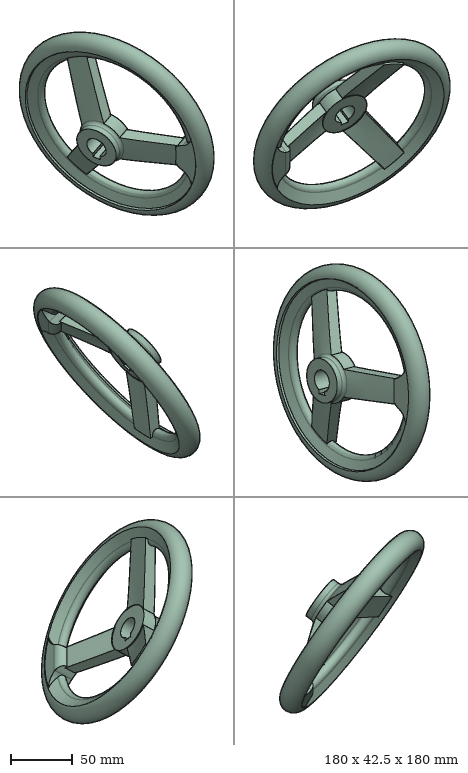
import cadquery as cq
import math


rim_radius = 90.0
rim_width = 20.0
overall_depth = 42.5
rim_round = rim_width / 2
crown_radius = rim_radius - rim_round
lip_draft = 0.5
lip_depth = 2.0
cone_inner_radius = 71.6
rim_bore_radius = 68.2
cone_inner_y = -4.3

hub_radius = 20.5
collar_radius = 37.0 / 2
hub_front_y = rim_round - overall_depth
collar_length = 5.2
flare_length = 3.5
flare_back_y = hub_front_y + collar_length + flare_length
hub_back_y = -11.5
bore_radius = 9.0
keyway_width = 6.7
keyway_depth = 11.7

spoke_count = 3
spoke_root_radius = 14.4
spoke_root_half_width = 11.9
spoke_tip_half_width = 10.6
spoke_tip_radius = 72.0
spoke_thickness = 11.7
spoke_tip_thickness = 10.3
spoke_face_radius = 55.5

pad_inner_corner = (60.1, 9.9)
pad_corner_mid = (63.0, 11.9)
pad_neck = (66.6, 13.9)
pad_flare_mid = (72.0, 18.7)
pad_flare_half_width = 27.0
pad_front_y = lip_depth - rim_round
pad_back_round = 7.2


def make_rim():
    """Round outside, recessed front cone, back cone and a rounded inner nose."""
    profile = (
        cq.Workplane("XY")
        .moveTo(crown_radius, -rim_round)
        .threePointArc((rim_radius, 0), (crown_radius, rim_round))
        .lineTo(cone_inner_radius, -cone_inner_y)
        .threePointArc((rim_bore_radius, 0), (cone_inner_radius, cone_inner_y))
        .lineTo(crown_radius - lip_draft, lip_depth - rim_round)
        .close()
    )
    return profile.revolve(360, (0, 0, 0), (0, 1, 0))


def make_hub():
    """Stepped hub whose collar flares out to the full hub radius."""
    collar_back = hub_front_y + collar_length
    profile = (
        cq.Workplane("XY")
        .moveTo(0, hub_front_y)
        .lineTo(collar_radius, hub_front_y)
        .lineTo(collar_radius, collar_back)
        .tangentArcPoint((hub_radius, flare_back_y), relative=False)
        .lineTo(hub_radius, hub_back_y)
        .lineTo(0, hub_back_y)
        .close()
    )
    return profile.revolve(360, (0, 0, 0), (0, 1, 0))


def spoke_front_y(radius):
    slope = (-rim_round - flare_back_y) / (spoke_face_radius - hub_radius)
    return flare_back_y + (radius - hub_radius) * slope


def make_spoke():
    """Tapered arm along +X, cut from a conical web that starts behind the hub flare."""
    root_back_y = spoke_front_y(spoke_root_radius) + spoke_thickness
    tip_y = spoke_front_y(spoke_tip_radius)
    cone = (
        cq.Workplane("XY")
        .moveTo(spoke_root_radius, flare_back_y)
        .lineTo(hub_radius, flare_back_y)
        .lineTo(spoke_tip_radius, tip_y)
        .lineTo(spoke_tip_radius, tip_y + spoke_tip_thickness)
        .lineTo(spoke_root_radius, root_back_y)
        .close()
        .revolve(360, (0, 0, 0), (0, 1, 0))
    )
    outline = (
        cq.Workplane("XZ")
        .moveTo(spoke_root_radius, -spoke_root_half_width)
        .lineTo(spoke_tip_radius, -spoke_tip_half_width)
        .lineTo(spoke_tip_radius, spoke_tip_half_width)
        .lineTo(spoke_root_radius, spoke_root_half_width)
        .close()
        .extrude(rim_radius, both=True)
    )
    return cone.intersect(outline)


def mirrored(point):
    return (point[0], -point[1])


def make_pad():
    """Flat pad with rounded shoulders and a rounded back edge that flares out into the rim."""
    pad_outer = crown_radius - lip_draft
    flare_end_x = math.sqrt(pad_outer**2 - pad_flare_half_width**2)
    flare_end = (flare_end_x, pad_flare_half_width)
    outline = (
        cq.Workplane("XZ")
        .moveTo(*mirrored(pad_inner_corner))
        .threePointArc(mirrored(pad_corner_mid), mirrored(pad_neck))
        .threePointArc(mirrored(pad_flare_mid), mirrored(flare_end))
        .threePointArc((pad_outer, 0), flare_end)
        .threePointArc(pad_flare_mid, pad_neck)
        .threePointArc(pad_corner_mid, pad_inner_corner)
        .close()
        .extrude(rim_radius, both=True)
    )
    inner = pad_inner_corner[0]
    side = (
        cq.Workplane("XY")
        .moveTo(inner, pad_front_y)
        .lineTo(pad_outer, pad_front_y)
        .lineTo(pad_outer, rim_round)
        .lineTo(inner + pad_back_round, rim_round)
        .radiusArc((inner, rim_round - pad_back_round), -pad_back_round)
        .close()
        .extrude(rim_radius, both=True)
    )
    return outline.intersect(side)


def make_bore():
    bore = cq.Workplane("XZ").circle(bore_radius).extrude(rim_radius, both=True)
    keyway = cq.Workplane("XY").box(keyway_width, 2 * rim_radius, keyway_depth)
    return bore.union(keyway.translate((0, 0, -keyway_depth / 2)))


result = make_rim().union(make_hub())
for index in range(spoke_count):
    angle = index * 360 / spoke_count
    result = result.union(make_spoke().rotate((0, 0, 0), (0, 1, 0), angle))
result = result.union(make_pad()).cut(make_bore())